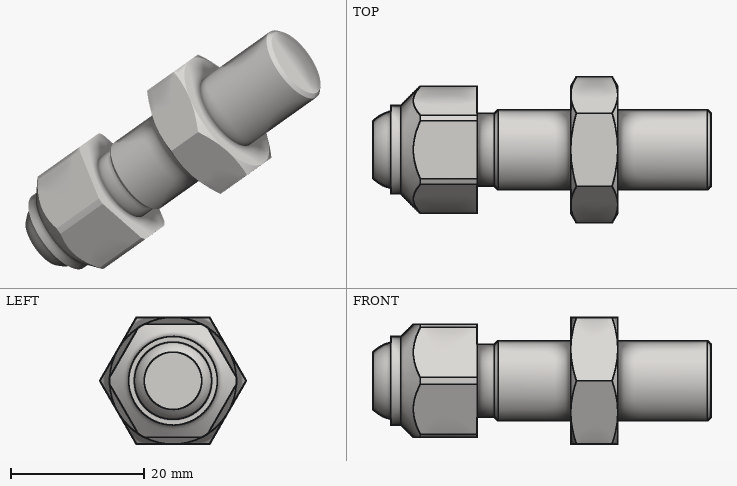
import cadquery as cq
import math

ball_flat_x = 0.0
collar_start = 2.7
head_start = 4.2
head_end = 15.6
shank_start = 18.2
bolt_end = 50.7

ball_radius = 6.0
ball_flat_radius = 4.3
collar_radius = 6.65
head_width = 17.0
head_corner_radius = 9.55
neck_radius = 5.5
shank_radius = 6.05
shank_chamfer = shank_radius - neck_radius

nut_start = 29.65
nut_thickness = 7.05
nut_width = 19.0
nut_chamfer_angle = 30.0

ball_center_x = ball_flat_x + math.sqrt(ball_radius**2 - ball_flat_radius**2)


def turned(points):
    """Revolve an (X, radius) outline about the X axis."""
    return cq.Workplane("XY").polyline(points).close().revolve(360, (0, 0, 0), (1, 0, 0))


def hex_prism(start, length, across_flats):
    """Hexagonal bar along X with corners on +Y and -Y."""
    across_corners = across_flats / math.cos(math.pi / 6)
    return cq.Workplane("YZ", origin=(start, 0, 0)).polygon(6, across_corners).extrude(length)


def make_ball():
    """Ball with a flat contact face."""
    sphere_end = ball_center_x + ball_radius
    return (
        cq.Workplane("XY")
        .moveTo(ball_flat_x, 0)
        .lineTo(ball_flat_x, ball_flat_radius)
        .threePointArc((ball_center_x, ball_radius), (sphere_end, 0))
        .close()
        .revolve(360, (0, 0, 0), (1, 0, 0))
    )


def make_bolt(ball):
    """Hex-headed bolt whose collar and head hold the ball in a socket."""
    collar = turned([
        (collar_start, 0),
        (collar_start, collar_radius),
        (head_start, collar_radius),
        (head_start, 0),
    ])

    cone_end = head_start + head_corner_radius - collar_radius
    head_envelope = turned([
        (head_start, 0),
        (head_start, collar_radius),
        (cone_end, head_corner_radius),
        (head_end, head_corner_radius),
        (head_end, 0),
    ])
    head = hex_prism(head_start, head_end - head_start, head_width).intersect(head_envelope)

    shank = turned([
        (head_end, 0),
        (head_end, neck_radius),
        (shank_start, neck_radius),
        (shank_start + shank_chamfer, shank_radius),
        (bolt_end - shank_chamfer, shank_radius),
        (bolt_end, neck_radius),
        (bolt_end, 0),
    ])
    return collar.union(head).union(shank).cut(ball)


def make_nut():
    """Hex nut with both faces chamfered down to a circle touching the flats."""
    nut_end = nut_start + nut_thickness
    face_radius = nut_width / 2
    corner_radius = face_radius / math.cos(math.pi / 6)
    chamfer_depth = (corner_radius - face_radius) * math.tan(math.radians(nut_chamfer_angle))
    envelope = turned([
        (nut_start, shank_radius),
        (nut_start, face_radius),
        (nut_start + chamfer_depth, corner_radius),
        (nut_end - chamfer_depth, corner_radius),
        (nut_end, face_radius),
        (nut_end, shank_radius),
    ])
    return hex_prism(nut_start, nut_thickness, nut_width).intersect(envelope)


ball = make_ball()
bolt = make_bolt(ball)
nut = make_nut()

result = cq.Compound.makeCompound([ball.val(), bolt.solids().val(), nut.solids().val()])